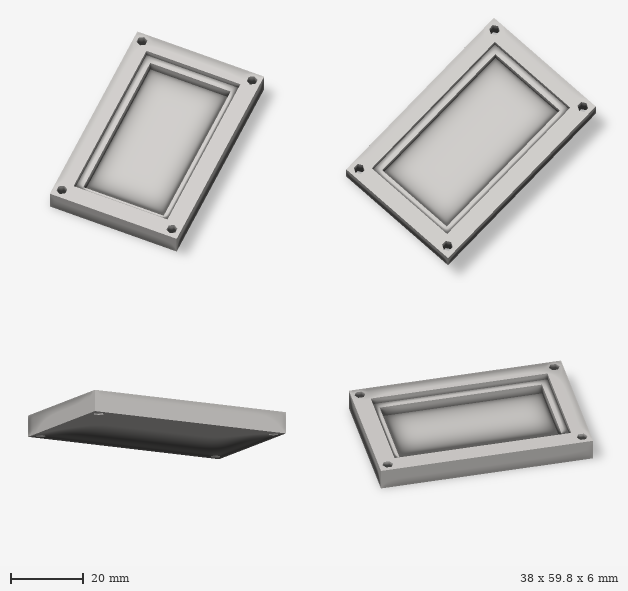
import cadquery as cq

width = 37.95
length = 59.8
base_thickness = 1.0
frame_thickness = 3.0
rim_thickness = 2.0
height = base_thickness + frame_thickness + rim_thickness

opening_width = 28.1
opening_length = 49.8
ledge_width = 2.05
well_width = opening_width - 2 * ledge_width
well_length = opening_length - 2 * ledge_width

hole_across_corners = 3.0
hole_edge_distance = 2.5
hole_spacing_x = width - 2 * hole_edge_distance
hole_spacing_y = length - 2 * hole_edge_distance
corner_direction = 90


def pocket(pocket_width, pocket_length, floor_height):
    """Rectangular cutter from the given floor up to the top face."""
    return (
        cq.Workplane("XY")
        .workplane(offset=floor_height)
        .rect(pocket_width, pocket_length)
        .extrude(height - floor_height)
    )


def corner_holes():
    """Four hexagonal cutters through the full height."""
    hole = cq.Workplane("XY").polygon(6, hole_across_corners).extrude(height)
    hole = hole.rotate((0, 0, 0), (0, 0, 1), corner_direction)
    cutters = cq.Workplane("XY")
    for side_x in (-1, 1):
        for side_y in (-1, 1):
            place = (side_x * hole_spacing_x / 2, side_y * hole_spacing_y / 2, 0)
            cutters = cutters.add(hole.translate(place))
    return cutters.combine()


body = cq.Workplane("XY").rect(width, length).extrude(height)
opening = pocket(opening_width, opening_length, base_thickness + frame_thickness)
well = pocket(well_width, well_length, base_thickness)
result = body.cut(opening).cut(well).cut(corner_holes())